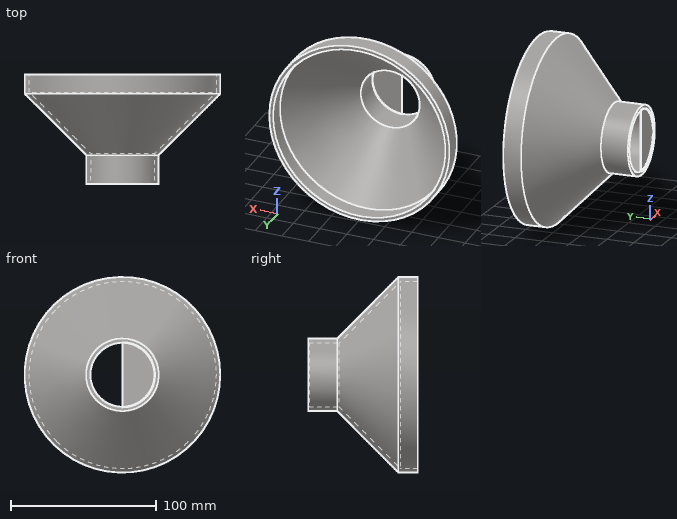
import cadquery as cq

total_length = 75.5
rim_diameter = 134.8
rim_bore_diameter = 128.9
spout_diameter = 50.0
spout_bore_diameter = 44.0
spout_length = 20.0
rim_length = 13.4
inner_cone_shift = 1.2

plate_thickness = 0.7
seam_width = 0.5
seam_depth = 0.1

rim_start = total_length - rim_length
rim_radius = rim_diameter / 2
rim_bore_radius = rim_bore_diameter / 2
spout_radius = spout_diameter / 2
spout_bore_radius = spout_bore_diameter / 2


def make_funnel():
    """Revolve the wall of the spout, cone and rim about the Y axis."""
    wall_profile = [
        (spout_bore_radius, 0),
        (spout_radius, 0),
        (spout_radius, spout_length),
        (rim_radius, rim_start),
        (rim_radius, total_length),
        (rim_bore_radius, total_length),
        (rim_bore_radius, rim_start + inner_cone_shift),
        (spout_bore_radius, spout_length + inner_cone_shift),
    ]
    return cq.Workplane("XY").polyline(wall_profile).close().revolve(360, (0, 0, 0), (0, 1, 0))


def make_half_ring(inner_radius, outer_radius, depth):
    """Make a ring or disc covering the +X half of the mouth, from Y = 0 inward."""
    section = cq.Workplane("XY").moveTo(inner_radius, 0).lineTo(outer_radius, 0)
    section = section.lineTo(outer_radius, depth).lineTo(inner_radius, depth).close()
    return section.revolve(180, (0, 0, 0), (0, 1, 0)).rotate((0, 0, 0), (0, 1, 0), -90)


seam_radius = spout_bore_radius + seam_width
plate = make_half_ring(0, seam_radius, plate_thickness)
seam = make_half_ring(spout_bore_radius, seam_radius, seam_depth)

result = make_funnel().union(plate).cut(seam)